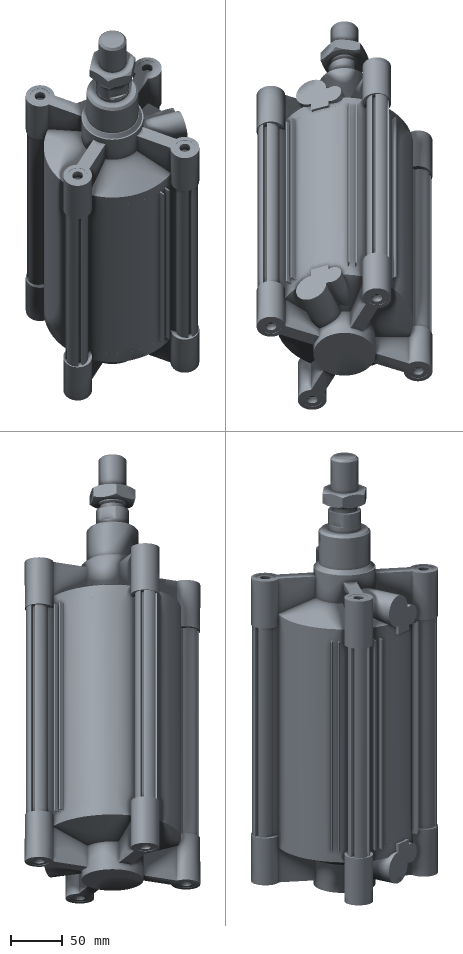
import cadquery as cq
import math

TOTAL_LENGTH = 435.0
CAP_SIDE = 138.0

CAP_LENGTH = 48.0
RIM_DIAMETER = 133.0
RIM_HEIGHT = 11.7
CONE_HEIGHT = 14.5
COLLAR_DIAMETER = 60.0
COLLAR_PROJECTION = 7.0
RIB_WIDTH = 13.0

CORNER_BOSS_DIAMETER = 28.0
BOSS_OFFSET = (CAP_SIDE - CORNER_BOSS_DIAMETER) / 2
SCREW_RECESS_DIAMETER = 19.5
SCREW_RECESS_DEPTH = 0.5
SCREW_SOCKET_DIAMETER = 10.5
SCREW_SOCKET_DEPTH = 8.5

PORT_BOSS_DIAMETER = 31.5
PORT_BOSS_X = 8.0
PORT_BOSS_HEIGHT = CAP_LENGTH / 2
CUSHION_BOSS_DIAMETER = 19.0
CUSHION_BOSS_X = -14.0
CUSHION_BOSS_HEIGHT = 14.5
PORT_WEB_LEFT_X = -10.0
PORT_WEB_HEIGHT = 23.5

NOSE_DIAMETER = 50.0
NOSE_TOP_Z = 361.5
NOSE_EDGE_CHAMFER = 2.0
NOSE_BASE_Z = 327.0
SHOULDER_Z = 321.5
SHOULDER_TOP_DIAMETER = 51.5

REAR_CAP_OUTER_Z = COLLAR_PROJECTION
TUBE_BOTTOM_Z = REAR_CAP_OUTER_Z + CAP_LENGTH
FRONT_CAP_OUTER_Z = 316.2
TUBE_TOP_Z = FRONT_CAP_OUTER_Z - CAP_LENGTH
TUBE_LENGTH = TUBE_TOP_Z - TUBE_BOTTOM_Z

LOBE_DIAMETER = 21.8
LOBE_OFFSET = 56.5
LOBE_NECK_WIDTH = 14.5
LOBE_SLOT_WIDTH = 4.0
LOBE_SLOT_DEPTH = 4.5
RAIL_TIP_RADIUS = 71.8
RAIL_WALL = 1.5
RAIL_WALL_SPACING = 7.0
RAIL_ANGLE_FROM_CORNER = 17.5

ROD_DIAMETER = 32.0
WRENCH_DIAMETER = 31.8
WRENCH_BOTTOM_Z = 365.5
ROD_SHOULDER_Z = 380.5
FLATS_WIDTH = 27.0
FLATS_BOTTOM_Z = 367.0
THREAD_DIAMETER = 27.0
THREAD_BOTTOM_Z = 385.0
THREAD_CHAMFER = 2.0
UNDERCUT_DIAMETER = 24.5

NUT_WIDTH = 41.0
NUT_BOTTOM_Z = 388.5
NUT_HEIGHT = 13.0
NUT_CHAMFER_ANGLE = 30.0
HEX_HALF_ANGLE = 30.0

CORNER_SIGNS = [(1, 1), (-1, 1), (-1, -1), (1, -1)]
CORNER_ANGLES = [45, 135, 225, 315]
CORNERS = [(sx * BOSS_OFFSET, sy * BOSS_OFFSET) for sx, sy in CORNER_SIGNS]


def cylinder(diameter, bottom, top):
    return cq.Workplane("XY").workplane(offset=bottom).circle(diameter / 2).extrude(top - bottom)


def radial_bar(width, inner, outer, height, angle, sideways=0.0):
    """Bar along a radius, standing on Z = 0, optionally shifted sideways from that radius."""
    bar = cq.Workplane("XY").center((inner + outer) / 2, sideways)
    return bar.rect(outer - inner, width).extrude(height).rotate((0, 0, 0), (0, 0, 1), angle)


def side_boss(diameter, x, height):
    """Round boss on the +Y side, running from the cap axis to the outer side plane."""
    plane = cq.Plane(origin=(x, 0, height), xDir=(1, 0, 0), normal=(0, 1, 0))
    return cq.Workplane(plane).circle(diameter / 2).extrude(CAP_SIDE / 2)


def make_cap():
    """End cap with its tube face on Z = 0 and its outer face toward +Z."""
    rim_radius = RIM_DIAMETER / 2
    collar_radius = COLLAR_DIAMETER / 2
    cone_top = RIM_HEIGHT + CONE_HEIGHT
    collar_top = CAP_LENGTH + COLLAR_PROJECTION
    cap = (
        cq.Workplane("XZ")
        .polyline([
            (0, 0),
            (rim_radius, 0),
            (rim_radius, RIM_HEIGHT),
            (collar_radius, cone_top),
            (collar_radius, collar_top),
            (0, collar_top),
        ])
        .close()
        .revolve(360, (0, 0, 0), (0, 1, 0))
    )
    for angle in CORNER_ANGLES:
        cap = cap.union(radial_bar(RIB_WIDTH, 0, BOSS_OFFSET * math.sqrt(2), CAP_LENGTH, angle))
    bosses = cq.Workplane("XY").pushPoints(CORNERS).circle(CORNER_BOSS_DIAMETER / 2).extrude(CAP_LENGTH)
    cap = cap.union(bosses)

    cap = cap.union(side_boss(PORT_BOSS_DIAMETER, PORT_BOSS_X, PORT_BOSS_HEIGHT))
    cap = cap.union(side_boss(CUSHION_BOSS_DIAMETER, CUSHION_BOSS_X, CUSHION_BOSS_HEIGHT))
    web_width = PORT_BOSS_X - PORT_WEB_LEFT_X
    web = cq.Workplane("XY").center(PORT_BOSS_X - web_width / 2, CAP_SIDE / 4)
    cap = cap.union(web.rect(web_width, CAP_SIDE / 2).extrude(PORT_WEB_HEIGHT))

    outer_face = cq.Workplane("XY").workplane(offset=CAP_LENGTH).pushPoints(CORNERS)
    cap = cap.cut(outer_face.circle(SCREW_RECESS_DIAMETER / 2).extrude(-SCREW_RECESS_DEPTH))
    return cap.cut(outer_face.circle(SCREW_SOCKET_DIAMETER / 2).extrude(-SCREW_SOCKET_DEPTH))


def make_front_cap():
    """End cap carrying the rod bearing nose, with the rod hole through both."""
    cap = make_cap().translate((0, 0, TUBE_TOP_Z))
    nose_radius = NOSE_DIAMETER / 2
    nose = (
        cq.Workplane("XZ")
        .polyline([
            (0, TUBE_TOP_Z),
            (COLLAR_DIAMETER / 2, TUBE_TOP_Z),
            (COLLAR_DIAMETER / 2, SHOULDER_Z),
            (SHOULDER_TOP_DIAMETER / 2, NOSE_BASE_Z),
            (nose_radius, NOSE_BASE_Z),
            (nose_radius, NOSE_TOP_Z - NOSE_EDGE_CHAMFER),
            (nose_radius - NOSE_EDGE_CHAMFER, NOSE_TOP_Z),
            (0, NOSE_TOP_Z),
        ])
        .close()
        .revolve(360, (0, 0, 0), (0, 1, 0))
    )
    rod_hole = cylinder(ROD_DIAMETER, TUBE_TOP_Z, NOSE_TOP_Z)
    return cap.union(nose).cut(rod_hole)


def make_rear_cap():
    """Mirror image of the end cap, with its outer face toward -Z."""
    return make_cap().mirror("XY").translate((0, 0, TUBE_BOTTOM_Z))


def make_tube():
    """Profile tube with a slotted lobe at each corner and sensor rails beside the two +Y lobes."""
    tube = cylinder(RIM_DIAMETER, 0, TUBE_LENGTH)
    for angle in CORNER_ANGLES:
        tube = tube.union(radial_bar(LOBE_NECK_WIDTH, 0, LOBE_OFFSET * math.sqrt(2), TUBE_LENGTH, angle))
    centers = [(sx * LOBE_OFFSET, sy * LOBE_OFFSET) for sx, sy in CORNER_SIGNS]
    tube = tube.union(cq.Workplane("XY").pushPoints(centers).circle(LOBE_DIAMETER / 2).extrude(TUBE_LENGTH))

    lobe_edge = LOBE_OFFSET + LOBE_DIAMETER / 2
    slot_floor = lobe_edge - LOBE_SLOT_DEPTH
    for side_angle in (0, 90, 180, 270):
        for sideways in (-LOBE_OFFSET, LOBE_OFFSET):
            slot = radial_bar(LOBE_SLOT_WIDTH, slot_floor, lobe_edge, TUBE_LENGTH, side_angle, sideways)
            tube = tube.cut(slot)

    for corner_angle in (45, 135):
        for turn in (-RAIL_ANGLE_FROM_CORNER, RAIL_ANGLE_FROM_CORNER):
            for sideways in (-RAIL_WALL_SPACING / 2, RAIL_WALL_SPACING / 2):
                wall = radial_bar(RAIL_WALL, 0, RAIL_TIP_RADIUS, TUBE_LENGTH, corner_angle + turn, sideways)
                tube = tube.union(wall)
    return tube.translate((0, 0, TUBE_BOTTOM_Z))


def make_rod():
    """Stepped rod with two wrench flats facing X, an undercut and a smooth end at the thread diameter."""
    shank = cylinder(ROD_DIAMETER, TUBE_TOP_Z, WRENCH_BOTTOM_Z)
    shank = shank.union(cylinder(WRENCH_DIAMETER, WRENCH_BOTTOM_Z, ROD_SHOULDER_Z))
    flats_height = ROD_SHOULDER_Z - FLATS_BOTTOM_Z
    for side in (-1, 1):
        x = side * (FLATS_WIDTH + WRENCH_DIAMETER) / 2
        flat = cq.Workplane("XY").workplane(offset=FLATS_BOTTOM_Z).center(x, 0)
        shank = shank.cut(flat.rect(WRENCH_DIAMETER, WRENCH_DIAMETER).extrude(flats_height))
    undercut = cylinder(UNDERCUT_DIAMETER, ROD_SHOULDER_Z, THREAD_BOTTOM_Z)
    thread = cylinder(THREAD_DIAMETER, THREAD_BOTTOM_Z, TOTAL_LENGTH)
    thread = thread.faces("<Z or >Z").chamfer(THREAD_CHAMFER)
    return shank.union(undercut).union(thread)


def make_nut():
    """Hexagon nut with two flats facing X, its corners turned off by a cone at both ends."""
    corner_diameter = NUT_WIDTH / math.cos(math.radians(HEX_HALF_ANGLE))
    corner_radius = corner_diameter / 2
    face_radius = NUT_WIDTH / 2
    drop = (corner_radius - face_radius) * math.tan(math.radians(NUT_CHAMFER_ANGLE))
    hexagon = cq.Workplane("XY").polygon(6, corner_diameter).extrude(NUT_HEIGHT)
    hexagon = hexagon.rotate((0, 0, 0), (0, 0, 1), HEX_HALF_ANGLE)
    turned = (
        cq.Workplane("XZ")
        .polyline([
            (0, 0),
            (face_radius, 0),
            (corner_radius, drop),
            (corner_radius, NUT_HEIGHT - drop),
            (face_radius, NUT_HEIGHT),
            (0, NUT_HEIGHT),
        ])
        .close()
        .revolve(360, (0, 0, 0), (0, 1, 0))
    )
    nut = hexagon.intersect(turned).cut(cylinder(THREAD_DIAMETER, 0, NUT_HEIGHT))
    return nut.translate((0, 0, NUT_BOTTOM_Z))


front_cap = make_front_cap()
rear_cap = make_rear_cap()
tube = make_tube()
rod = make_rod()
nut = make_nut()

result = cq.Compound.makeCompound([front_cap.val(), rear_cap.val(), tube.val(), rod.val(), nut.val()])